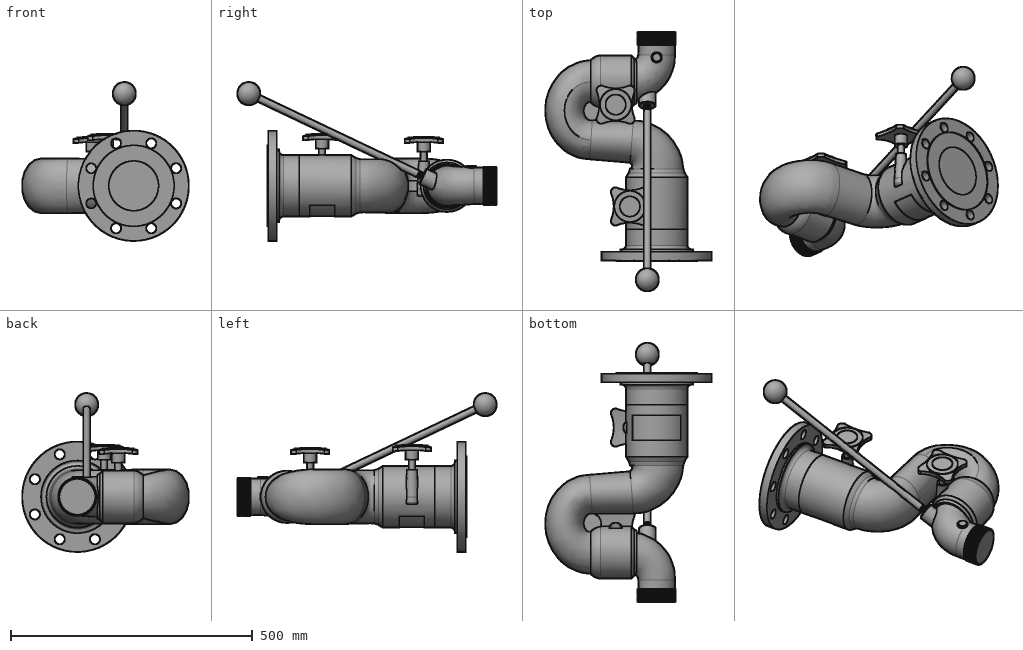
import cadquery as cq
import math


FLANGE_RADIUS = 114.5
FLANGE_BACK = 20.0
RAISED_FACE_RADIUS = 84.0
RAISED_FACE_HEIGHT = 1.5
BORE_RADIUS = 51.5
STEP_RADIUS = 75.0
STEP_BACK = 24.5
COVE_RADIUS = 8.5
BASE_END = 66.5
BOLT_COUNT = 8
BOLT_CIRCLE_RADIUS = 95.0
BOLT_HOLE_RADIUS = 10.0

LOWER_RADIUS = 64.0
LOWER_SHOULDER = 173.5
LOWER_NECK_RADIUS = 58.0
LOWER_NECK = 183.0
PANEL_LENGTH = 51.5
PANEL_TOP = -40.0
PANEL_DEPTH = 0.5

INLET_SECTION = (55.5, 55.5)
SEAM_SECTION = (44.0, 55.5)
BEND_SECTION = (41.0, 57.0)
OUTLET_SECTION = (44.5, 44.5)
ELBOW_START = 192.0
ELBOW_BEND_RADIUS = 56.0
ELBOW_TURN = 86
U_CENTRE_X = -136.5
U_HALF_WIDTH = 54.0
U_START_Y = 251.5
WEB_RADIUS = 21.5
WEB_THICKNESS = 21.5

UPPER_AXIS_Y = 371.5
UPPER_RADIUS = 54.0
UPPER_LEFT = -117.0
UPPER_SHOULDER_RADIUS = 51.5
UPPER_RIGHT = -52.5
UPPER_END = -46.5
UPPER_END_RADIUS = 48.5

OUTLET_RADIUS = 38.0
BEND_START_RADIUS = 42.5
NECK_END_RADIUS = 44.5
OUTLET_BEND_RADIUS = 56.0
NECK_END = -41.0
THREAD_START = 446.5
OUTLET_END = 475.0
THREAD_CREST_RADIUS = 40.0
THREAD_ROOT_RADIUS = 37.0
THREAD_COUNT = 9
PLUG_Y = 421.5
PLUG_RADIUS = 11.0
PLUG_TOP = 42.0
PLUG_CHAMFER = 2.0

LEVER_X = -19.5
BALL_RADIUS = 24.0
BALL_Y = -38.0
BALL_Z = 190.5
LEVER_TILT = 25.4
LEVER_RADIUS = 7.5
LEVER_LENGTH = 398.0
SOCKET_DEPTH = 8.0
LEVER_THREAD_ROOT = 6.5
LEVER_THREAD_PITCH = 2.5
LEVER_THREAD_COUNT = 4
LEVER_BOSS_RADIUS = 17.5
LEVER_BOSS_LENGTH = 45.0
LEVER_BOSS_CHAMFER = 1.5

LOWER_CLAMP = (-55.5, 113.5, 0)
UPPER_CLAMP = (-85.0, 324.0, -6.0)
CLAMP_BOTTOM = -15.5
CLAMP_TOP = 56.5
CLAMP_BOTTOM_RADIUS = 14.0
CLAMP_TOP_RADIUS = 11.0
CLAMP_ROUND = 4.5
STEM_RADIUS = 7.0
HUB_RADIUS = 13.5
HUB_BOTTOM = 77.0
WHEEL_TOP = 106.5
WHEEL_THICKNESS = 8.0
WHEEL_DROOP = 4.5
WHEEL_RIM_RADIUS = 52.5
LOBE_COUNT = 4
LOBE_OFFSET = 29.0
LOBE_RADIUS = 11.0
WAIST_RADIUS = 34.0
DISC_RADIUS = 32.0
CAP_RADIUS = 21.0
CAP_HEIGHT = 1.0


def cylinder_y(radius, start, end):
    """Cylinder on the inlet axis."""
    return cq.Workplane("XZ", origin=(0, start, 0)).circle(radius).extrude(start - end)


def make_base():
    """Flange, step and collar that carry the lower swivel."""
    cove_end = STEP_BACK + COVE_RADIUS
    cove_rim = LOWER_RADIUS + COVE_RADIUS
    cove_dip = COVE_RADIUS * (1 - math.sqrt(0.5))
    base = (
        cq.Workplane("XY")
        .moveTo(BORE_RADIUS, 0)
        .lineTo(RAISED_FACE_RADIUS, 0)
        .lineTo(RAISED_FACE_RADIUS, RAISED_FACE_HEIGHT)
        .lineTo(FLANGE_RADIUS, RAISED_FACE_HEIGHT)
        .lineTo(FLANGE_RADIUS, FLANGE_BACK)
        .lineTo(STEP_RADIUS, FLANGE_BACK)
        .lineTo(STEP_RADIUS, STEP_BACK)
        .lineTo(cove_rim, STEP_BACK)
        .threePointArc((LOWER_RADIUS + cove_dip, STEP_BACK + cove_dip), (LOWER_RADIUS, cove_end))
        .lineTo(LOWER_RADIUS, BASE_END)
        .lineTo(BORE_RADIUS, BASE_END)
        .close()
        .revolve(360, (0, 0, 0), (0, 1, 0))
    )
    bolt_holes = (
        cq.Workplane("XZ")
        .polarArray(BOLT_CIRCLE_RADIUS, 180 / BOLT_COUNT, 360, BOLT_COUNT)
        .circle(BOLT_HOLE_RADIUS)
        .extrude(-FLANGE_BACK)
    )
    return base.cut(bolt_holes)


def make_core():
    """Inner neck that fills the bore of the base, flush with both ends."""
    return cylinder_y(BORE_RADIUS, 0, BASE_END)


def pipe_section(x, y, heading, size):
    """Elliptical wire square to a heading, in degrees, in the XY plane."""
    angle = math.radians(heading)
    half_width, half_height = size
    return cq.Wire.makeEllipse(
        half_height,
        half_width,
        cq.Vector(x, y, 0),
        cq.Vector(math.cos(angle), math.sin(angle), 0),
        cq.Vector(0, 0, 1),
    )


def blend(first, last, fraction):
    """Section size part of the way between two others."""
    return tuple(a + (b - a) * fraction for a, b in zip(first, last))


def make_pipe():
    """Elbow, slanted run and U-bend between the housings, with a web in the eye of the U."""
    elbow_steps = 4
    elbow = []
    for i in range(elbow_steps + 1):
        turn = ELBOW_TURN * i / elbow_steps
        x = ELBOW_BEND_RADIUS * (math.cos(math.radians(turn)) - 1)
        y = ELBOW_START + ELBOW_BEND_RADIUS * math.sin(math.radians(turn))
        size = blend(INLET_SECTION, SEAM_SECTION, i / elbow_steps)
        elbow.append(pipe_section(x, y, turn + 90, size))

    u_steps = 8
    u_half_height = (UPPER_AXIS_Y - U_START_Y) / 2
    u_centre_y = U_START_Y + u_half_height
    u_bend = []
    for i in range(u_steps + 1):
        turn = math.radians(180 * i / u_steps)
        x = U_CENTRE_X - U_HALF_WIDTH * math.sin(turn)
        y = u_centre_y - u_half_height * math.cos(turn)
        along = (-U_HALF_WIDTH * math.cos(turn), u_half_height * math.sin(turn))
        heading = min(math.degrees(math.atan2(along[1], along[0])), ELBOW_TURN + 90)
        late = max(0, 2 * i / u_steps - 1)
        size = blend(BEND_SECTION, OUTLET_SECTION, late ** 2)
        u_bend.append(pipe_section(x, y, heading, size))

    run = [elbow[-1], u_bend[0]]
    web = (
        cq.Workplane("XY")
        .center(U_CENTRE_X, u_centre_y)
        .circle(WEB_RADIUS)
        .extrude(WEB_THICKNESS / 2, both=True)
    )
    pipe = cq.Workplane(cq.Solid.makeLoft(elbow))
    pipe = pipe.union(cq.Workplane(cq.Solid.makeLoft(run)))
    pipe = pipe.union(cq.Workplane(cq.Solid.makeLoft(u_bend)))
    return pipe.union(web)


def make_lower_housing():
    """Barrel over the base with a shallow panel around its underside."""
    inlet_radius = INLET_SECTION[0]
    barrel = (
        cq.Workplane("XY")
        .moveTo(0, BASE_END)
        .lineTo(LOWER_RADIUS, BASE_END)
        .lineTo(LOWER_RADIUS, LOWER_SHOULDER)
        .lineTo(LOWER_NECK_RADIUS, LOWER_NECK)
        .lineTo(inlet_radius, ELBOW_START)
        .lineTo(0, ELBOW_START)
        .close()
        .revolve(360, (0, 0, 0), (0, 1, 0))
    )
    panel_y = LOWER_CLAMP[1]
    panel_height = LOWER_RADIUS + PANEL_TOP
    panel = (
        cylinder_y(LOWER_RADIUS, panel_y - PANEL_LENGTH / 2, panel_y + PANEL_LENGTH / 2)
        .cut(cylinder_y(LOWER_RADIUS - PANEL_DEPTH, BASE_END, LOWER_SHOULDER))
        .intersect(
            cq.Workplane("XY", origin=(0, panel_y, -LOWER_RADIUS))
            .rect(2 * LOWER_RADIUS, PANEL_LENGTH)
            .extrude(panel_height)
        )
    )
    return barrel.cut(panel)


def make_upper_housing():
    """Barrel between the U-bend and the outlet elbow."""
    pipe_radius = OUTLET_SECTION[0]
    shoulder_middle = ((U_CENTRE_X + UPPER_LEFT) / 2, UPPER_AXIS_Y + UPPER_SHOULDER_RADIUS)
    return (
        cq.Workplane("XY")
        .moveTo(U_CENTRE_X, UPPER_AXIS_Y)
        .lineTo(U_CENTRE_X, UPPER_AXIS_Y + pipe_radius)
        .threePointArc(shoulder_middle, (UPPER_LEFT, UPPER_AXIS_Y + UPPER_RADIUS))
        .lineTo(UPPER_RIGHT, UPPER_AXIS_Y + UPPER_RADIUS)
        .lineTo(UPPER_END, UPPER_AXIS_Y + UPPER_END_RADIUS)
        .lineTo(UPPER_END, UPPER_AXIS_Y)
        .close()
        .revolve(360, (0, UPPER_AXIS_Y, 0), (1, UPPER_AXIS_Y, 0))
    )


def make_clamp_boss(place):
    """Tapered boss with a rounded foot that carries a clamp stem."""
    return (
        cq.Workplane("XZ")
        .lineTo(CLAMP_BOTTOM_RADIUS, 0)
        .lineTo(CLAMP_TOP_RADIUS, CLAMP_TOP)
        .lineTo(0, CLAMP_TOP)
        .close()
        .revolve(360, (0, 0, 0), (0, 1, 0))
        .union(
            cq.Workplane("XY")
            .circle(CLAMP_BOTTOM_RADIUS)
            .extrude(CLAMP_BOTTOM)
            .faces("<Z")
            .edges()
            .fillet(CLAMP_ROUND)
        )
        .translate(place)
    )


def make_body():
    """Casting: both swivel housings, the pipe between them and the clamp bosses."""
    body = make_lower_housing().union(make_pipe()).union(make_upper_housing())
    for place in (LOWER_CLAMP, UPPER_CLAMP):
        body = body.union(make_clamp_boss(place))
    return body


def place_on_lever(shape):
    """Move a shape built along +Z from the origin onto the lever axis, starting at the ball."""
    return shape.rotate((0, 0, 0), (1, 0, 0), -90 - LEVER_TILT).translate((LEVER_X, BALL_Y, BALL_Z))


def make_thread():
    """End of the outlet, with ring ridges that have V-shaped flanks."""
    pitch = (OUTLET_END - THREAD_START) / THREAD_COUNT
    profile = cq.Workplane("XY").moveTo(0, THREAD_START).lineTo(THREAD_ROOT_RADIUS, THREAD_START)
    for i in range(THREAD_COUNT):
        root = THREAD_START + i * pitch
        profile = profile.lineTo(THREAD_CREST_RADIUS, root + pitch / 2)
        profile = profile.lineTo(THREAD_ROOT_RADIUS, root + pitch)
    return profile.lineTo(0, OUTLET_END).close().revolve(360, (0, 0, 0), (0, 1, 0))


def make_outlet():
    """Elbow with a threaded end, a plug and the boss for the lever."""
    bend_end = UPPER_AXIS_Y + OUTLET_BEND_RADIUS
    bend_steps = 4
    sections = []
    for i in range(bend_steps + 1):
        turn = 90 * i / bend_steps
        x = OUTLET_BEND_RADIUS * (math.sin(math.radians(turn)) - 1)
        y = bend_end - OUTLET_BEND_RADIUS * math.cos(math.radians(turn))
        radius = BEND_START_RADIUS + (OUTLET_RADIUS - BEND_START_RADIUS) * i / bend_steps
        sections.append(pipe_section(x, y, turn, (radius, radius)))
    bend = cq.Workplane(cq.Solid.makeLoft(sections))
    neck = cq.Workplane(cq.Solid.makeCone(
        UPPER_END_RADIUS,
        NECK_END_RADIUS,
        NECK_END - UPPER_END,
        cq.Vector(UPPER_END, UPPER_AXIS_Y, 0),
        cq.Vector(1, 0, 0),
    ))
    plug = (
        cq.Workplane("XY", origin=(0, PLUG_Y, 0))
        .circle(PLUG_RADIUS)
        .extrude(PLUG_TOP)
        .faces(">Z")
        .chamfer(PLUG_CHAMFER)
    )
    lever_boss = place_on_lever(
        cq.Workplane("XY", origin=(0, 0, LEVER_LENGTH))
        .circle(LEVER_BOSS_RADIUS)
        .extrude(LEVER_BOSS_LENGTH)
        .faces("<Z")
        .chamfer(LEVER_BOSS_CHAMFER)
    )
    outlet = bend.union(cylinder_y(OUTLET_RADIUS, bend_end, THREAD_START)).union(make_thread())
    outlet = outlet.union(plug).union(lever_boss)
    housing_side = (
        cq.Workplane("YZ", origin=(UPPER_END, UPPER_AXIS_Y, 0))
        .circle(2 * UPPER_RADIUS)
        .extrude(-UPPER_RADIUS)
    )
    return outlet.cut(housing_side).union(neck)


def make_lever():
    """Round rod with a short ring-grooved end that butts against the elbow's boss."""
    thread_start = LEVER_LENGTH - LEVER_THREAD_COUNT * LEVER_THREAD_PITCH
    rod_start = BALL_RADIUS - SOCKET_DEPTH
    profile = (
        cq.Workplane("XZ")
        .moveTo(0, rod_start)
        .lineTo(LEVER_RADIUS, rod_start)
        .lineTo(LEVER_RADIUS, thread_start)
    )
    for i in range(LEVER_THREAD_COUNT):
        crest = thread_start + i * LEVER_THREAD_PITCH
        profile = profile.lineTo(LEVER_THREAD_ROOT, crest + LEVER_THREAD_PITCH / 2)
        profile = profile.lineTo(LEVER_RADIUS, crest + LEVER_THREAD_PITCH)
    return place_on_lever(profile.lineTo(0, LEVER_LENGTH).close().revolve(360, (0, 0, 0), (0, 1, 0)))


def make_ball(lever):
    """Ball grip with a socket for the lever."""
    return cq.Workplane("XY").sphere(BALL_RADIUS).translate((LEVER_X, BALL_Y, BALL_Z)).cut(lever)


def make_stem(place):
    """Clamp screw between its boss and its hand wheel."""
    stem = cq.Workplane("XY", origin=(0, 0, CLAMP_TOP)).circle(STEM_RADIUS).extrude(HUB_BOTTOM - CLAMP_TOP)
    return stem.translate(place)


def wheel_outline():
    """Closed outline with four round lobes on the diagonals and hollow sides between them."""
    outer = LOBE_OFFSET + LOBE_RADIUS
    tip = LOBE_OFFSET + LOBE_RADIUS * math.sqrt(0.5)
    outline = cq.Workplane("XY").moveTo(outer, -LOBE_OFFSET)
    for i in range(LOBE_COUNT):
        angle = math.radians(360 * i / LOBE_COUNT)
        turned = []
        for x, y in ((WAIST_RADIUS, 0), (outer, LOBE_OFFSET), (tip, tip), (LOBE_OFFSET, outer)):
            turned.append((
                x * math.cos(angle) - y * math.sin(angle),
                x * math.sin(angle) + y * math.cos(angle),
            ))
        outline = outline.threePointArc(turned[0], turned[1]).threePointArc(turned[2], turned[3])
    return outline.close()


def make_wheel(place):
    """Four-lobed domed hand wheel with a hub below and a cap on top."""
    rim_top = WHEEL_TOP - WHEEL_DROOP
    middle_radius = WHEEL_RIM_RADIUS / 2
    middle_top = WHEEL_TOP - WHEEL_DROOP / 4
    dome = (
        cq.Workplane("XZ")
        .moveTo(0, WHEEL_TOP)
        .threePointArc((middle_radius, middle_top), (WHEEL_RIM_RADIUS, rim_top))
        .lineTo(WHEEL_RIM_RADIUS, rim_top - WHEEL_THICKNESS)
        .threePointArc((middle_radius, middle_top - WHEEL_THICKNESS), (0, WHEEL_TOP - WHEEL_THICKNESS))
        .close()
        .revolve(360, (0, 0, 0), (0, 1, 0))
    )
    wheel = wheel_outline().extrude(WHEEL_TOP).intersect(dome)
    hub = (
        cq.Workplane("XY", origin=(0, 0, HUB_BOTTOM))
        .circle(HUB_RADIUS)
        .extrude(WHEEL_TOP - WHEEL_THICKNESS / 2 - HUB_BOTTOM)
    )
    disc_bottom = WHEEL_TOP - WHEEL_DROOP
    disc = cq.Workplane("XY", origin=(0, 0, disc_bottom)).circle(DISC_RADIUS).extrude(WHEEL_DROOP)
    cap = cq.Workplane("XY", origin=(0, 0, disc_bottom)).circle(CAP_RADIUS).extrude(WHEEL_DROOP + CAP_HEIGHT)
    return wheel.union(hub).union(disc).union(cap).translate(place)


base = make_base()
core = make_core()
outlet = make_outlet()
lever = make_lever()
body = make_body().cut(lever)
ball = make_ball(lever)

stems = []
wheels = []
for clamp in (LOWER_CLAMP, UPPER_CLAMP):
    stems.append(make_stem(clamp).val())
    wheels.append(make_wheel(clamp).cut(lever).val())

result = cq.Compound.makeCompound([
    base.val(),
    core.val(),
    body.val(),
    outlet.val(),
    lever.val(),
    ball.val(),
    *stems,
    *wheels,
])